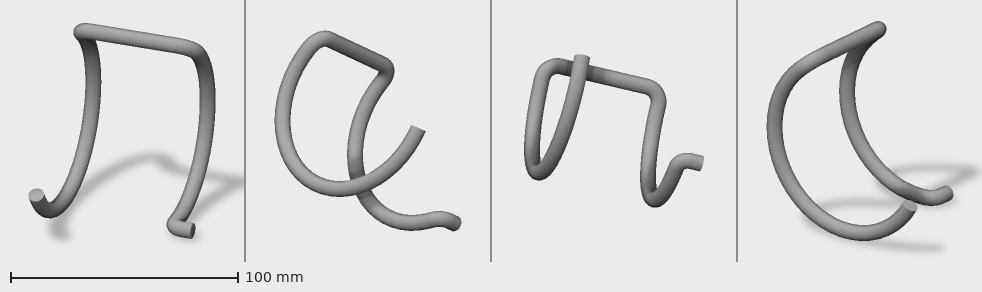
import cadquery as cq
import math

ROD_DIAMETER = 7.0

ARC_RADIUS = 40.0
ARC_TOP_ANGLE = 50.0
LONG_LEG_END_ANGLE = -150.0
SHORT_LEG_END_ANGLE = -90.0
LEG_SPACING = 53.5

TOP_BEND_RADIUS = 7.0
TOP_STRAIGHT = 1.0

FOOT_STRAIGHT = 2.5
FOOT_BEND_RADIUS = 5.0
FOOT_LENGTH = 5.0

X_AXIS = cq.Vector(1, 0, 0)


def arc_point(x, angle):
    """Point on a leg centreline at an angle in degrees from +Y towards +Z."""
    a = math.radians(angle)
    return cq.Vector(x, ARC_RADIUS * math.cos(a), ARC_RADIUS * math.sin(a))


def arc_direction(angle):
    """Unit tangent of a leg centreline, in the direction of rising angle."""
    a = math.radians(angle)
    return cq.Vector(0, -math.sin(a), math.cos(a))


def leg_arc(x, start_angle, end_angle):
    middle_angle = (start_angle + end_angle) / 2
    return cq.Edge.makeThreePointArc(
        arc_point(x, start_angle), arc_point(x, middle_angle), arc_point(x, end_angle)
    )


def bend(corner, incoming, outgoing, radius):
    """Quarter-circle bend rounding a square corner of the centreline."""
    start = corner - incoming * radius
    end = corner + outgoing * radius
    return cq.Edge.makeTangentArc(start, incoming, end)


def rod_centreline():
    up = arc_direction(ARC_TOP_ANGLE)
    down = up * -1
    forward = cq.Vector(0, -1, 0)

    long_top = arc_point(0, ARC_TOP_ANGLE)
    short_top = arc_point(LEG_SPACING, ARC_TOP_ANGLE)
    short_bottom = arc_point(LEG_SPACING, SHORT_LEG_END_ANGLE)

    crossbar_offset = up * (TOP_STRAIGHT + TOP_BEND_RADIUS)
    long_corner = long_top + crossbar_offset
    short_corner = short_top + crossbar_offset
    foot_corner = short_bottom + forward * (FOOT_STRAIGHT + FOOT_BEND_RADIUS)

    long_bend = bend(long_corner, up, X_AXIS, TOP_BEND_RADIUS)
    short_bend = bend(short_corner, X_AXIS, down, TOP_BEND_RADIUS)
    foot_bend = bend(foot_corner, forward, X_AXIS, FOOT_BEND_RADIUS)
    foot_tip = foot_bend.endPoint() + X_AXIS * FOOT_LENGTH

    return cq.Wire.assembleEdges([
        leg_arc(0, LONG_LEG_END_ANGLE, ARC_TOP_ANGLE),
        cq.Edge.makeLine(long_top, long_bend.startPoint()),
        long_bend,
        cq.Edge.makeLine(long_bend.endPoint(), short_bend.startPoint()),
        short_bend,
        cq.Edge.makeLine(short_bend.endPoint(), short_top),
        leg_arc(LEG_SPACING, ARC_TOP_ANGLE, SHORT_LEG_END_ANGLE),
        cq.Edge.makeLine(short_bottom, foot_bend.startPoint()),
        foot_bend,
        cq.Edge.makeLine(foot_bend.endPoint(), foot_tip),
    ])


def rod():
    free_end = cq.Plane(
        origin=arc_point(0, LONG_LEG_END_ANGLE),
        xDir=X_AXIS,
        normal=arc_direction(LONG_LEG_END_ANGLE),
    )
    section = cq.Workplane(free_end).circle(ROD_DIAMETER / 2)
    return section.sweep(cq.Workplane(rod_centreline()))


result = rod()